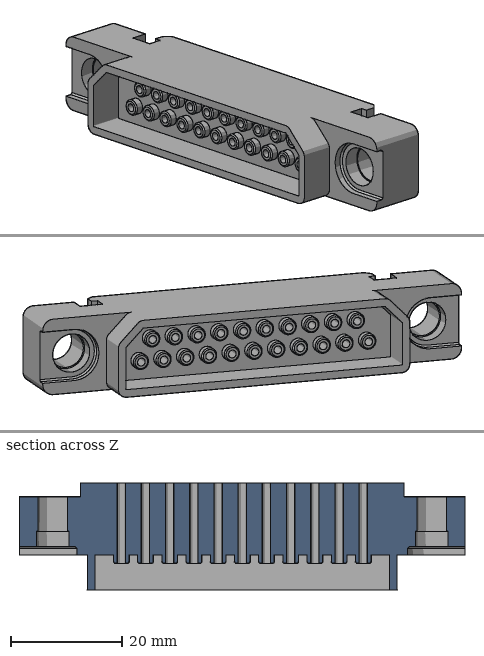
import cadquery as cq


length = 80.0
height = 14.0
flange_depth = 10.5
flange_corner_radius = 2.0

total_depth = 19.3
rail_half_length = 29.0

shell_depth = 6.3
shell_half_length = 27.8
shell_chamfer = 4.2
shell_corner_radius = 1.6
shell_wall = 1.4

mount_x = 34.0
mount_front_radius = 3.5
mount_rear_radius = 3.3
mount_front_depth = 4.2
recess_radius = 4.7
recess_depth = 1.5
recess_floor_chamfer = 0.3

contact_span = 43.4
lower_contacts = 11
upper_contacts = 10
contact_pitch = contact_span / (lower_contacts - 1)
contact_row_z = 2.0
boss_radius = 1.4
boss_height = 1.5
boss_chamfer = 0.2
contact_bore_radius = 0.7

web_half_height = 2.7
notch_outer_x = 30.2
notch_inner_x = 25.9
notch_depth = 3.2
hook_x = 27.1
hook_setback = 0.6
hook_chamfer = 1.1

half_height = height / 2
rear_y = total_depth - shell_depth


def mirrored_pair(solid):
    """The solid together with its mirror image across the YZ plane."""
    return solid.union(solid.mirror("YZ"))


def extrude_along_y(outline, start_y, depth):
    """Prism running toward +Y from start_y, with an outline given as (x, z) points."""
    plane = cq.Workplane("XZ", origin=(0, start_y, 0))
    return plane.polyline(outline).close().extrude(-depth)


def cylinder_along_y(x, z, radius, start_y, depth):
    """Cylinder running toward +Y from start_y."""
    return cq.Workplane("XZ", origin=(x, start_y, z)).circle(radius).extrude(-depth)


def shell_outline(inset):
    """Rectangle with both upper corners cut at 45 degrees, moved inward by inset."""
    side = shell_half_length - inset
    level = half_height - inset
    cut = shell_chamfer - inset * (2 - 2 ** 0.5)
    return [
        (-side, -level),
        (side, -level),
        (side, level - cut),
        (side - cut, level),
        (-side + cut, level),
        (-side, level - cut),
    ]


def make_flange():
    block = cq.Workplane("XY").box(length, flange_depth, height, centered=(True, False, True))
    return block.edges("|Y").fillet(flange_corner_radius)


def make_rail():
    rail_depth = rear_y - flange_depth
    base = cq.Workplane("XY", origin=(0, flange_depth, 0))
    return base.box(2 * rail_half_length, rail_depth, height, centered=(True, False, True))


def make_shell():
    shell = extrude_along_y(shell_outline(0), -shell_depth, shell_depth)
    return shell.edges("|Y").fillet(shell_corner_radius)


def make_cavity():
    """Space inside the shell; its floor is level with the flange front."""
    cavity = extrude_along_y(shell_outline(shell_wall), -shell_depth, shell_depth)
    return cavity.edges("|Y").fillet(shell_corner_radius - shell_wall)


def make_mount_cut():
    """Stepped hole and the recess that runs from it out to the end of the flange."""
    recess = cylinder_along_y(mount_x, 0, recess_radius, 0, recess_depth)
    run_out = extrude_along_y(
        [
            (mount_x, -recess_radius),
            (length, -recess_radius),
            (length, recess_radius),
            (mount_x, recess_radius),
        ],
        0,
        recess_depth,
    )
    recess = recess.union(run_out).faces(">Y").edges().chamfer(recess_floor_chamfer)
    wide_bore = cylinder_along_y(mount_x, 0, mount_front_radius, 0, mount_front_depth)
    narrow_bore = cylinder_along_y(mount_x, 0, mount_rear_radius, 0, flange_depth)
    return recess.union(wide_bore).union(narrow_bore)


def make_notches():
    """Undercut notches above and below the central web at the +X end of the rail."""
    hook_y = flange_depth - hook_setback
    notch = (
        cq.Workplane("XY", origin=(0, 0, web_half_height))
        .moveTo(notch_outer_x, flange_depth - notch_depth)
        .lineTo(notch_inner_x, flange_depth - notch_depth)
        .lineTo(notch_inner_x, hook_y)
        .lineTo(hook_x, hook_y)
        .lineTo(hook_x, rear_y - hook_chamfer)
        .lineTo(hook_x - hook_chamfer, rear_y)
        .lineTo(notch_outer_x, rear_y)
        .close()
        .extrude(half_height - web_half_height)
    )
    return notch.union(notch.mirror("XY"))


def contact_positions():
    """Centers (x, z) of the two staggered contact rows."""
    positions = []
    for count, z in ((upper_contacts, contact_row_z), (lower_contacts, -contact_row_z)):
        first_x = -contact_pitch * (count - 1) / 2
        positions += [(first_x + i * contact_pitch, z) for i in range(count)]
    return positions


def make_boss(x, z):
    boss = cylinder_along_y(x, z, boss_radius, -boss_height, boss_height)
    return boss.faces("<Y").edges().chamfer(boss_chamfer)


body = make_flange().union(make_rail()).union(make_shell())
body = body.cut(make_cavity())
body = body.cut(mirrored_pair(make_mount_cut()))
body = body.cut(mirrored_pair(make_notches()))

contacts = contact_positions()
for contact_x, contact_z in contacts:
    body = body.union(make_boss(contact_x, contact_z))
for contact_x, contact_z in contacts:
    body = body.cut(cylinder_along_y(contact_x, contact_z, contact_bore_radius, -shell_depth, total_depth))

result = body